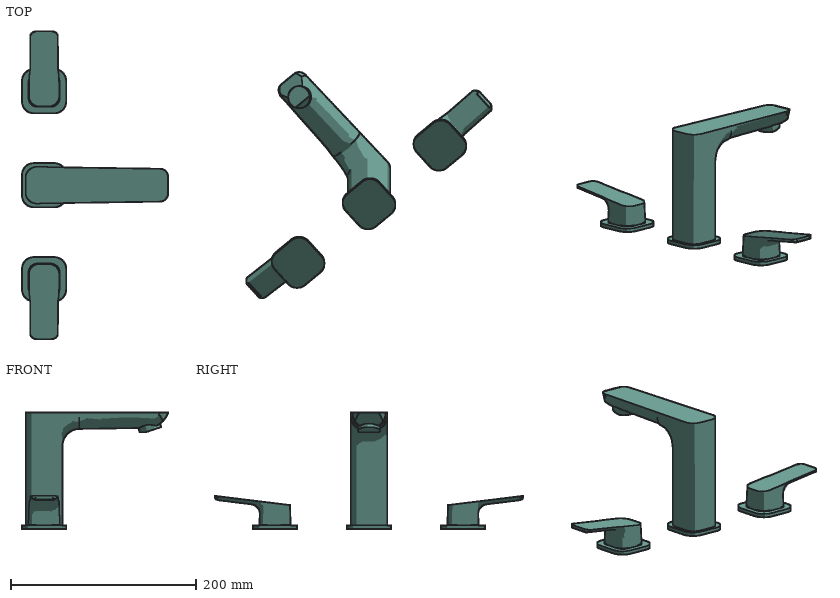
import cadquery as cq
import math


FLANGE_SIDE = 48.0
FLANGE_CORNER = 13.0
FLANGE_HEIGHT = 4.0

SPOUT_HEIGHT = 126.17
SPOUT_TIP = 157.99 - FLANGE_SIDE / 2
COLUMN_SIDE = 40.0
COLUMN_CORNER = 12.0
ARM_ROOT_UNDERSIDE = 107.8
ARM_END_UNDERSIDE = 109.5
ARM_BEND = 18.0
ARM_EDGE_ROUND = 16.0
ARM_ROUND_FULL_X = 46.0
ARM_TIP_WIDTH = 35.5
ARM_TIP_CORNER = 8.5
ARM_TIP_LOWER_CORNER = 17.0
NOSE_RADIUS = 24.0
NOSE_LIP = 0.6

AERATOR_DIAMETER = 24.0
AERATOR_TILT = 18.5
AERATOR_DEPTH = 9.0
AERATOR_MOUTH_X = 115.3
AERATOR_MOUTH_Z = 106.4
AERATOR_LOWEST = 104.4

HANDLE_SPACING = 101.5
LEVER_REACH = 332.79 / 2 - HANDLE_SPACING
PLINTH_HEIGHT = 0.8
POST_BASE_SIDE = 34.0
POST_DRAFT = 2.0
POST_BACK_CORNER = 10.5
LEVER_EDGE_ROUND = 8.0
LEVER_TIP_HEIGHT = 36.0
LEVER_SLOPE = 7.0
LEVER_THICKNESS = 4.5
LEVER_BEND = 10.0
LEVER_TIP_WIDTH = 31.0
LEVER_TIP_CORNER = 7.5
LEVER_NOSE_ROUND = 3.0

MARGIN = 20.0
CLEARANCE = 1.0

X_AXIS = cq.Vector(1, 0, 0)
Y_AXIS = cq.Vector(0, 1, 0)
Z_AXIS = cq.Vector(0, 0, 1)


def flange():
    block = cq.Workplane("XY").rect(FLANGE_SIDE, FLANGE_SIDE).extrude(FLANGE_HEIGHT)
    return block.edges("|Z").fillet(FLANGE_CORNER)


def corner_section(corner, inward_a, inward_b, radius):
    """Wire around the material outside an arc that rounds a corner between two inward directions."""
    centre = corner + (inward_a + inward_b) * radius
    start = corner + inward_a * radius
    middle = centre - (inward_a + inward_b).normalized() * radius
    end = corner + inward_b * radius
    outer_end = end - inward_a * CLEARANCE
    outer_corner = corner - (inward_a + inward_b) * CLEARANCE
    outer_start = start - inward_b * CLEARANCE
    arc = cq.Edge.makeThreePointArc(start, middle, end)
    points = [end, outer_end, outer_corner, outer_start, start]
    lines = [cq.Edge.makeLine(a, b) for a, b in zip(points, points[1:])]
    return cq.Wire.assembleEdges([arc, *lines])


def corner_waste(inward_a, inward_b, stations):
    """Waste that rounds an edge, its radius changing evenly between (corner, radius) stations."""
    wires = [corner_section(corner, inward_a, inward_b, radius) for corner, radius in stations]
    return cq.Workplane(cq.Solid.makeLoft(wires, True))


def bend_inner_corner(body, x, z, radius):
    """Turn the corner between the post front and the arm underside into a smooth bend."""
    return body.edges("|Y").edges(cq.selectors.NearestToPointSelector((x, 0, z))).fillet(radius)


def round_upright_edges(body, x, half_width, z, radius):
    """Round the upright edges near x on both flanks, and whatever runs on smoothly from them."""
    for side in (-1, 1):
        nearest = cq.selectors.NearestToPointSelector((x, side * half_width, z))
        body = body.edges(nearest).fillet(radius)
    return body


def round_tip(body, tip, width, lower, upper):
    """Round both tip corners in plan, from a lower (z, radius) to an upper (z, radius)."""
    for side in (-1, 1):
        stations = [(cq.Vector(tip, side * width / 2, z), radius) for z, radius in (lower, upper)]
        body = body.cut(corner_waste(-X_AXIS, Y_AXIS * -side, stations))
    return body




def arm_half_width(x):
    """Half the plan width, narrowing evenly from the column back to the tip."""
    back = -COLUMN_SIDE / 2
    fraction = (x - back) / (SPOUT_TIP - back)
    return COLUMN_SIDE / 2 + fraction * (ARM_TIP_WIDTH - COLUMN_SIDE) / 2


def arm_underside(x):
    """Height of the arm underside, rising slightly from the column front to the tip."""
    root = COLUMN_SIDE / 2
    fraction = (x - root) / (SPOUT_TIP - root)
    return ARM_ROOT_UNDERSIDE + fraction * (ARM_END_UNDERSIDE - ARM_ROOT_UNDERSIDE)


def spout_elbow():
    """Column and over-long arm with round edges, narrowing in plan."""
    half = COLUMN_SIDE / 2
    end = SPOUT_TIP + MARGIN
    side_view = (
        cq.Workplane("XZ")
        .moveTo(-half, 0)
        .lineTo(half, 0)
        .lineTo(half, arm_underside(half))
        .lineTo(end, arm_underside(end))
        .lineTo(end, SPOUT_HEIGHT)
        .lineTo(-half, SPOUT_HEIGHT)
        .close()
        .extrude(half, both=True)
    )
    side_view = bend_inner_corner(side_view, half, ARM_ROOT_UNDERSIDE, ARM_BEND)
    plan = (
        cq.Workplane("XY")
        .moveTo(-half, -half)
        .lineTo(end, -arm_half_width(end))
        .lineTo(end, arm_half_width(end))
        .lineTo(-half, half)
        .close()
        .extrude(SPOUT_HEIGHT)
    )
    elbow = side_view.intersect(plan)
    for x in (-half, half):
        elbow = round_upright_edges(elbow, x, half, SPOUT_HEIGHT / 2, COLUMN_CORNER)
    return elbow


def round_arm_underside(arm):
    """Widen the lower edge rounds of the arm beyond the bend."""
    bend_end = COLUMN_SIDE / 2 + ARM_BEND
    radii = [(bend_end, COLUMN_CORNER), (ARM_ROUND_FULL_X, ARM_EDGE_ROUND), (SPOUT_TIP, ARM_EDGE_ROUND)]
    for side in (-1, 1):
        stations = [
            (cq.Vector(x, side * arm_half_width(x), arm_underside(x)), radius)
            for x, radius in radii
        ]
        arm = arm.cut(corner_waste(Y_AXIS * -side, Z_AXIS, stations))
    return arm


def nose_limit():
    """Side limit of the arm end: a nose arc rising from the underside to a thin upright lip."""
    lip_z = SPOUT_HEIGHT - NOSE_LIP
    centre_z = ARM_END_UNDERSIDE + NOSE_RADIUS
    centre_x = SPOUT_TIP - math.sqrt(NOSE_RADIUS**2 - (centre_z - lip_z) ** 2)
    lip_angle = math.atan2(lip_z - centre_z, SPOUT_TIP - centre_x)
    middle_angle = (lip_angle - math.pi / 2) / 2
    middle = (
        centre_x + NOSE_RADIUS * math.cos(middle_angle),
        centre_z + NOSE_RADIUS * math.sin(middle_angle),
    )
    return (
        cq.Workplane("XZ")
        .moveTo(-COLUMN_SIDE, 0)
        .lineTo(centre_x, 0)
        .lineTo(centre_x, ARM_END_UNDERSIDE)
        .threePointArc(middle, (SPOUT_TIP, lip_z))
        .lineTo(SPOUT_TIP, SPOUT_HEIGHT)
        .lineTo(-COLUMN_SIDE, SPOUT_HEIGHT)
        .close()
        .extrude(COLUMN_SIDE, both=True)
    )


def aerator():
    tilt = math.radians(AERATOR_TILT)
    axis = cq.Vector(-math.sin(tilt), 0, math.cos(tilt))
    mouth = cq.Vector(AERATOR_MOUTH_X, 0, AERATOR_MOUTH_Z)
    cylinder = cq.Solid.makeCylinder(AERATOR_DIAMETER / 2, AERATOR_DEPTH, mouth, axis)
    flat_cut = (
        cq.Workplane("XY", origin=(AERATOR_MOUTH_X, 0, AERATOR_LOWEST))
        .rect(2 * AERATOR_DIAMETER, 2 * AERATOR_DIAMETER)
        .extrude(-MARGIN)
    )
    return cq.Workplane(cylinder).cut(flat_cut)


def spout():
    """Flange, column, arm and aerator as one solid."""
    body = round_arm_underside(spout_elbow()).intersect(nose_limit())
    lower = (ARM_END_UNDERSIDE, ARM_TIP_LOWER_CORNER)
    upper = (SPOUT_HEIGHT, ARM_TIP_CORNER)
    body = round_tip(body, SPOUT_TIP, ARM_TIP_WIDTH, lower, upper)
    return flange().union(body).union(aerator())




def lever_underside(x):
    """Height of the sloping lever underside."""
    rise = math.tan(math.radians(LEVER_SLOPE))
    return LEVER_TIP_HEIGHT - LEVER_THICKNESS - (LEVER_REACH - x) * rise


def lever_elbow():
    """Drafted post and over-tall, over-long lever with round edges, reaching along +X."""
    half = POST_BASE_SIDE / 2
    base_z = FLANGE_HEIGHT + PLINTH_HEIGHT
    end = LEVER_REACH + MARGIN
    top_z = LEVER_TIP_HEIGHT + MARGIN
    corner_x = half - math.tan(math.radians(POST_DRAFT)) * (lever_underside(half) - base_z)
    corner_z = lever_underside(corner_x)
    side_view = (
        cq.Workplane("XZ")
        .moveTo(-half, base_z)
        .lineTo(half, base_z)
        .lineTo(corner_x, corner_z)
        .lineTo(end, lever_underside(end))
        .lineTo(end, top_z)
        .lineTo(-half, top_z)
        .close()
        .extrude(half, both=True)
    )
    side_view = bend_inner_corner(side_view, corner_x, corner_z, LEVER_BEND)
    length = end + half + MARGIN
    plan = (
        cq.Workplane("XY", origin=(length / 2 - half, 0, base_z))
        .rect(length, POST_BASE_SIDE)
        .extrude(top_z - base_z, taper=POST_DRAFT)
    )
    elbow = side_view.intersect(plan)
    elbow = round_upright_edges(elbow, -half, half, corner_z, POST_BACK_CORNER)
    return round_upright_edges(elbow, half, half, base_z, LEVER_EDGE_ROUND)


def lever_limit():
    """Side limit of post and lever: the sloping top, the upright tip and its round lower edge."""
    back_x = -POST_BASE_SIDE
    back_z = LEVER_TIP_HEIGHT - (LEVER_REACH - back_x) * math.tan(math.radians(LEVER_SLOPE))
    return (
        cq.Workplane("XZ")
        .moveTo(back_x, 0)
        .lineTo(LEVER_REACH, 0)
        .lineTo(LEVER_REACH, LEVER_TIP_HEIGHT)
        .lineTo(back_x, back_z)
        .close()
        .extrude(POST_BASE_SIDE, both=True)
    )


def plinth():
    """Straight foot below the drafted post, with the same outline as the post base."""
    half = POST_BASE_SIDE / 2
    height = FLANGE_HEIGHT + PLINTH_HEIGHT
    block = cq.Workplane("XY").rect(POST_BASE_SIDE, POST_BASE_SIDE).extrude(height)
    block = round_upright_edges(block, -half, half, height / 2, POST_BACK_CORNER)
    return round_upright_edges(block, half, half, height / 2, LEVER_EDGE_ROUND)


def handle():
    """Flange, plinth, post and lever as one solid, the lever reaching along +X."""
    tip_z = lever_underside(LEVER_REACH)
    lever = lever_elbow().intersect(lever_limit())
    nose_stations = [
        (cq.Vector(LEVER_REACH, y, tip_z), LEVER_NOSE_ROUND)
        for y in (-POST_BASE_SIDE / 2, POST_BASE_SIDE / 2)
    ]
    lever = lever.cut(corner_waste(-X_AXIS, Z_AXIS, nose_stations))
    lower = (tip_z - CLEARANCE, LEVER_TIP_CORNER)
    upper = (LEVER_TIP_HEIGHT + CLEARANCE, LEVER_TIP_CORNER)
    lever = round_tip(lever, LEVER_REACH, LEVER_TIP_WIDTH, lower, upper)
    return flange().union(plinth()).union(lever)


handles = [
    handle().rotate((0, 0, 0), (0, 0, 1), side * 90).translate((0, side * HANDLE_SPACING, 0))
    for side in (-1, 1)
]

result = cq.Compound.makeCompound([spout().val(), *[each.val() for each in handles]])